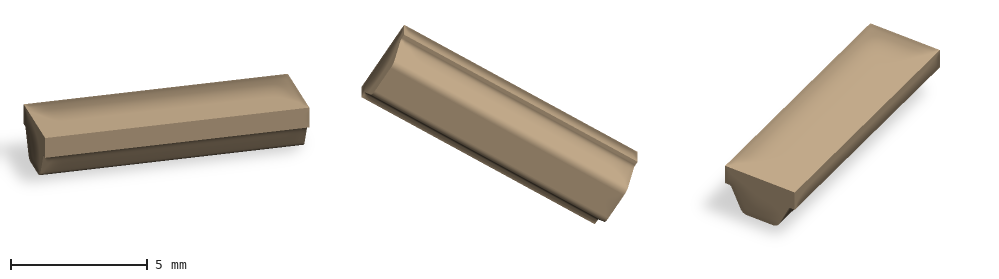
import cadquery as cq
import math

length = 10.0
width = 3.0
height = 1.9

tooth_height = 1.1
tooth_root_width = 2.53
flank_angle = 25.0
tip_radius = 0.3
root_radius = 0.1

half_width = width / 2
half_root = tooth_root_width / 2
half_tip = half_root - tooth_height * math.tan(math.radians(flank_angle))

profile = [
    (-half_width, height),
    (-half_width, tooth_height),
    (-half_root, tooth_height),
    (-half_tip, 0),
    (half_tip, 0),
    (half_root, tooth_height),
    (half_width, tooth_height),
    (half_width, height),
]
body = cq.Workplane("XZ").polyline(profile).close().extrude(length / 2, both=True)


def round_edges(part, x, z, radius):
    """Round the mirrored pair of lengthwise edges at +/-x and height z."""
    for side in (-1, 1):
        part = part.edges(cq.selectors.NearestToPointSelector((side * x, 0, z))).fillet(radius)
    return part


result = round_edges(body, half_tip, 0, tip_radius)
result = round_edges(result, half_root, tooth_height, root_radius)